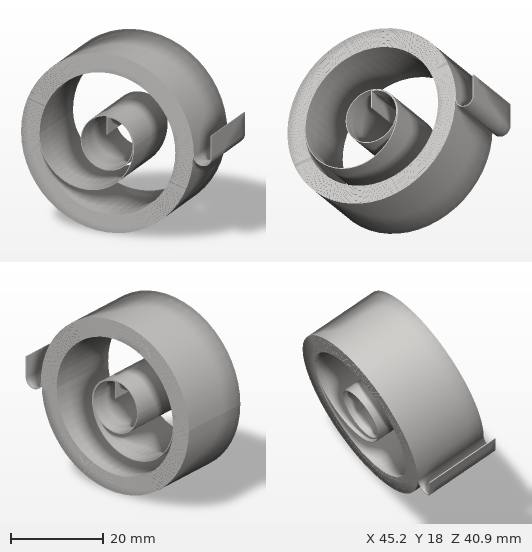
import cadquery as cq
import math


total_length = 45.2
coil_height = 40.9
strip_width = 18.0

upper_half_turns = 22
turn_gap = 0.01
hub_radius = 6.15
coil_start_radius = 16.1

leg_tip_z = 2.05
hook_tip_z = 5.0

pitch = (coil_height - 2 * coil_start_radius + turn_gap) / (2 * upper_half_turns - 0.5)
thickness = pitch - turn_gap
half_thickness = thickness / 2
upper_center_x = pitch / 2

coil_left_x = -(coil_start_radius + (upper_half_turns - 1) * pitch)
coil_right_x = coil_start_radius + upper_half_turns * pitch
hook_far_x = total_length + coil_left_x - thickness
hook_radius = (hook_far_x - coil_right_x) / 2
hook_center_x = coil_right_x + hook_radius


def axis_crossings():
    """X of the strip's middle at each crossing of Z = 0, from the hub outward."""
    crossings = [hub_radius, -hub_radius, hub_radius + pitch]
    for layer in range(upper_half_turns):
        left_radius = coil_start_radius + layer * pitch
        crossings += [-left_radius, left_radius + pitch]
    return crossings


def strip_side(offset):
    """Points of one side of the strip, as (mid point or None, end point) steps.

    The offset is measured away from the winding centre.
    """
    start_radius = hub_radius - upper_center_x + offset
    diagonal = start_radius * math.sqrt(0.5)
    edge_x = [x + offset * math.copysign(1, x) for x in axis_crossings()]

    steps = [((upper_center_x + diagonal, diagonal), (edge_x[0], 0))]
    for start_x, end_x in zip(edge_x, edge_x[1:]):
        apex = ((start_x + end_x) / 2, (end_x - start_x) / 2)
        steps.append((apex, (end_x, 0)))

    bend_radius = hook_radius - offset
    steps.append(((hook_center_x, -bend_radius), (hook_center_x + bend_radius, 0)))
    steps.append((None, (hook_center_x + bend_radius, hook_tip_z)))
    return (upper_center_x, start_radius), steps


def draw_forward(sketch, steps):
    for middle, end in steps:
        sketch = sketch.lineTo(*end) if middle is None else sketch.threePointArc(middle, end)
    return sketch


def reverse_steps(start, steps):
    ends = [start] + [end for _, end in steps]
    middles = [middle for middle, _ in steps]
    return list(zip(reversed(middles), reversed(ends[:-1])))


def strip_profile():
    outer_start, outer_steps = strip_side(half_thickness)
    inner_start, inner_steps = strip_side(-half_thickness)
    leg_left_x = upper_center_x - thickness

    profile = cq.Workplane("XZ").moveTo(leg_left_x, leg_tip_z)
    profile = profile.lineTo(leg_left_x, outer_start[1]).lineTo(*outer_start)
    profile = draw_forward(profile, outer_steps)

    profile = profile.lineTo(*inner_steps[-1][1])
    profile = draw_forward(profile, reverse_steps(inner_start, inner_steps))
    return profile.lineTo(upper_center_x, leg_tip_z).close()


result = strip_profile().extrude(strip_width)